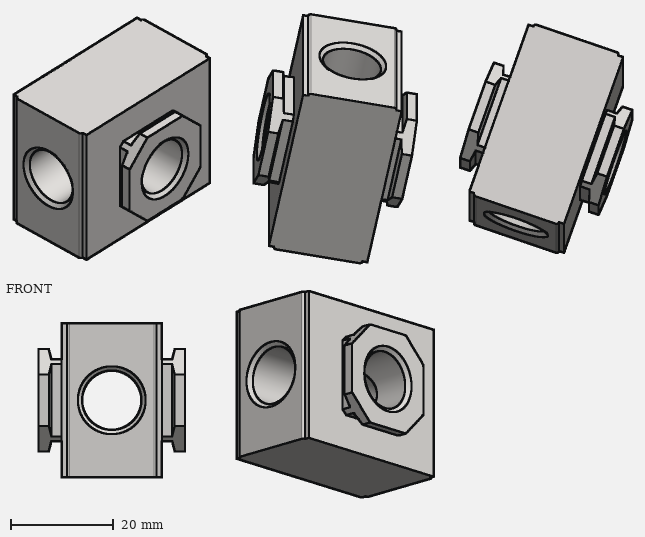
import cadquery as cq

block_width = 19.5
block_length = 36.0
block_height = 30.0
end_step_depth = 0.5
end_step_width = 1.0
end_pad_radius = end_step_depth

overall_width = 28.5
octagon_size = 20.0
octagon_chamfer = octagon_size / 4
groove_depth = 2.0
rim_edge_thickness = 2.0
rim_root_thickness = 2.52

bore_diameter = 11.5
countersink_diameter = 13.2
countersink_depth = (countersink_diameter - bore_diameter) / 2


def make_block():
    """Block with a narrower, round-edged pad standing on each Y end."""
    core_length = block_length - 2 * end_step_depth
    pad_width = block_width - 2 * end_step_width
    core = cq.Workplane("XY").box(block_width, core_length, block_height)
    pads = (
        cq.Workplane("XY")
        .box(pad_width, block_length, block_height)
        .edges("|Z")
        .fillet(end_pad_radius)
    )
    return core.union(pads)


def flange_profile(plane):
    """Extruded side outline of both flanges, with the groove behind each rim."""
    half_width = overall_width / 2
    half_size = octagon_size / 2
    neck = half_size - groove_depth
    quarter = [
        (0, neck),
        (half_width - rim_root_thickness, neck),
        (half_width - rim_edge_thickness, half_size),
        (half_width, half_size),
    ]
    right_side = quarter + [(x, -y) for x, y in reversed(quarter)]
    return (
        cq.Workplane(plane)
        .polyline(right_side)
        .close()
        .extrude(half_size, both=True)
        .mirror("YZ", union=True)
    )


def make_flanges():
    """Square flanges grooved on four sides, their corners cut to an octagon."""
    octagon = (
        cq.Workplane("XY")
        .box(overall_width, octagon_size, octagon_size)
        .edges("|X")
        .chamfer(octagon_chamfer)
    )
    return octagon.intersect(flange_profile("XY")).intersect(flange_profile("XZ"))


def make_bore(plane, length):
    """Cutter for a through bore countersunk at both ends."""
    bore_radius = bore_diameter / 2
    mouth_radius = countersink_diameter / 2
    bore = cq.Workplane(plane).circle(bore_radius).extrude(length / 2, both=True)
    for side in (-1, 1):
        mouth = (
            cq.Workplane(plane)
            .workplane(offset=side * length / 2)
            .circle(mouth_radius)
            .workplane(offset=-side * countersink_depth)
            .circle(bore_radius)
            .loft(ruled=True)
        )
        bore = bore.union(mouth)
    return bore


result = (
    make_block()
    .union(make_flanges())
    .cut(make_bore("YZ", overall_width))
    .cut(make_bore("XZ", block_length))
)